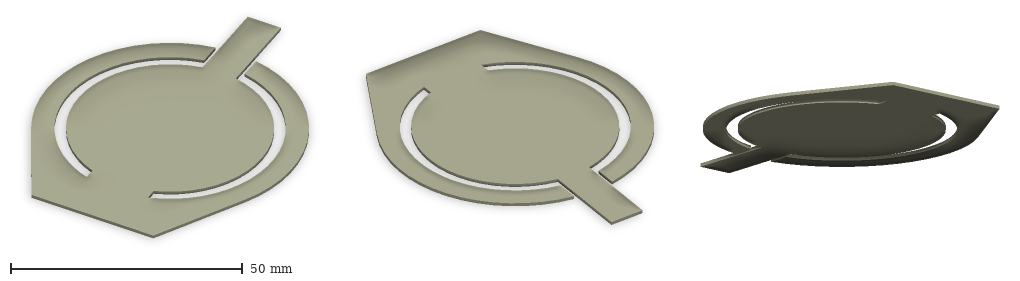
import cadquery as cq
import math

thickness = 0.75
total_length = 77.5
ring_outer_radius = 30.0
ring_inner_radius = 24.95
disc_radius = 22.5
base_width = 30.0
base_distance = 35.0
bridge_width = 15.0
tab_width = 8.1
ring_opening_width = 10.0

tab_end = total_length - base_distance


def disc(radius):
    return cq.Workplane("XY").circle(radius).extrude(thickness)


def upright_bar(width, y_start, y_end):
    """Plate centred on the Y axis, spanning y_start to y_end."""
    return (
        cq.Workplane("XY")
        .center(0, (y_start + y_end) / 2)
        .rect(width, y_end - y_start)
        .extrude(thickness)
    )


def tapered_base():
    """Base whose sloping sides run tangent into the outer ring circle."""
    corner_x = base_width / 2
    corner_distance = math.hypot(corner_x, base_distance)
    corner_angle = math.atan2(-base_distance, corner_x)
    tangent_angle = corner_angle + math.acos(ring_outer_radius / corner_distance)
    tangent_x = ring_outer_radius * math.cos(tangent_angle)
    tangent_y = ring_outer_radius * math.sin(tangent_angle)
    return (
        cq.Workplane("XY")
        .moveTo(-corner_x, -base_distance)
        .lineTo(corner_x, -base_distance)
        .lineTo(tangent_x, tangent_y)
        .lineTo(-tangent_x, tangent_y)
        .close()
        .extrude(thickness)
    )


frame = disc(ring_outer_radius).union(tapered_base())
frame = frame.cut(disc(ring_inner_radius))
frame = frame.cut(upright_bar(ring_opening_width, 0, ring_outer_radius))

bridge = upright_bar(bridge_width, -ring_outer_radius, 0)
tab = upright_bar(tab_width, 0, tab_end)
result = frame.union(disc(disc_radius)).union(bridge).union(tab)